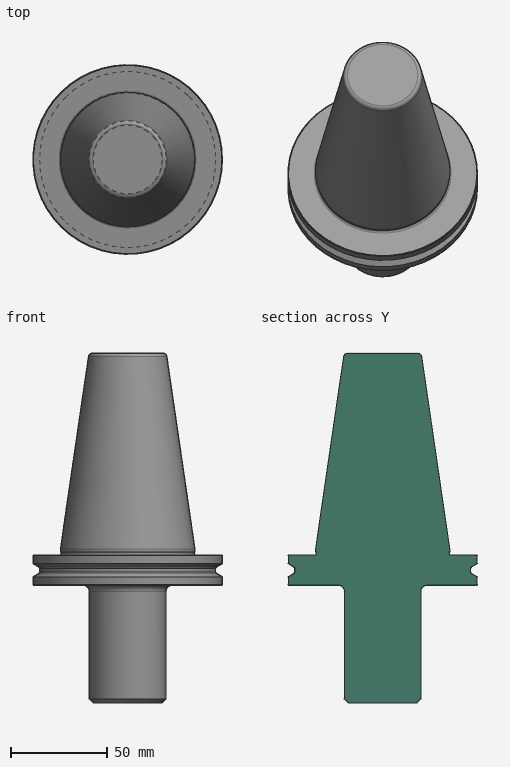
import cadquery as cq
import math

total_height = 181.6
taper_length = 101.7
gauge_gap = 3.0
flange_thickness = 15.8
gauge_z = total_height - taper_length
flange_top = gauge_z - gauge_gap
flange_bottom = flange_top - flange_thickness

gauge_radius = 70.0 / 2
taper_end_radius = gauge_radius - taper_length * 7 / 24 / 2
taper_end_fillet = 2.2
neck_depth = 0.4
neck_height = 1.6
neck_fillet = 0.9

flange_radius = 98.5 / 2
flange_chamfer = 0.4
groove_radius = 91.3 / 2
groove_floor = 2.7
groove_fillet = 0.9
groove_center = (flange_top + flange_bottom) / 2
flank_height = (flange_radius - groove_radius) * math.tan(math.radians(30))
groove_half_floor = groove_floor / 2
groove_half_mouth = groove_half_floor + flank_height

shank_radius = 40.0 / 2
shank_chamfer = 2.2
shank_fillet = 3.0


def revolve_outline(outline):
    """Turn a closed radius-height outline about the Z axis."""
    return outline.revolve(360, (0, 0, 0), (0, 1, 0))


def make_taper():
    neck_radius = gauge_radius - neck_depth
    neck_top = flange_top + neck_height
    arc_offset = neck_fillet * (1 - math.sqrt(0.5))
    outline = (
        cq.Workplane("XZ")
        .moveTo(0, flange_top)
        .lineTo(neck_radius + neck_fillet, flange_top)
        .threePointArc(
            (neck_radius + arc_offset, flange_top + arc_offset),
            (neck_radius, flange_top + neck_fillet),
        )
        .lineTo(neck_radius, neck_top)
        .lineTo(gauge_radius, neck_top)
        .lineTo(gauge_radius, gauge_z)
        .lineTo(taper_end_radius, total_height)
        .lineTo(0, total_height)
        .close()
    )
    taper = revolve_outline(outline)
    return taper.faces(">Z").edges().fillet(taper_end_fillet)


def make_flange():
    base = cq.Workplane("XY", origin=(0, 0, flange_bottom))
    flange = base.circle(flange_radius).extrude(flange_thickness)
    flange = flange.faces("<Z or >Z").edges().chamfer(flange_chamfer)
    groove_outline = cq.Workplane("XZ").polyline([
        (flange_radius, groove_center - groove_half_mouth),
        (groove_radius, groove_center - groove_half_floor),
        (groove_radius, groove_center + groove_half_floor),
        (flange_radius, groove_center + groove_half_mouth),
    ]).close()
    flange = flange.cut(revolve_outline(groove_outline))
    floor_corners = flange.edges(cq.selectors.RadiusNthSelector(0))
    return floor_corners.fillet(groove_fillet)


def make_shank():
    fillet_start = flange_bottom - shank_fillet
    arc_offset = shank_fillet * (1 - math.sqrt(0.5))
    outline = (
        cq.Workplane("XZ")
        .lineTo(shank_radius - shank_chamfer, 0)
        .lineTo(shank_radius, shank_chamfer)
        .lineTo(shank_radius, fillet_start)
        .threePointArc(
            (shank_radius + arc_offset, flange_bottom - arc_offset),
            (shank_radius + shank_fillet, flange_bottom),
        )
        .lineTo(0, flange_bottom)
        .close()
    )
    return revolve_outline(outline)


result = make_flange().union(make_taper()).union(make_shank())